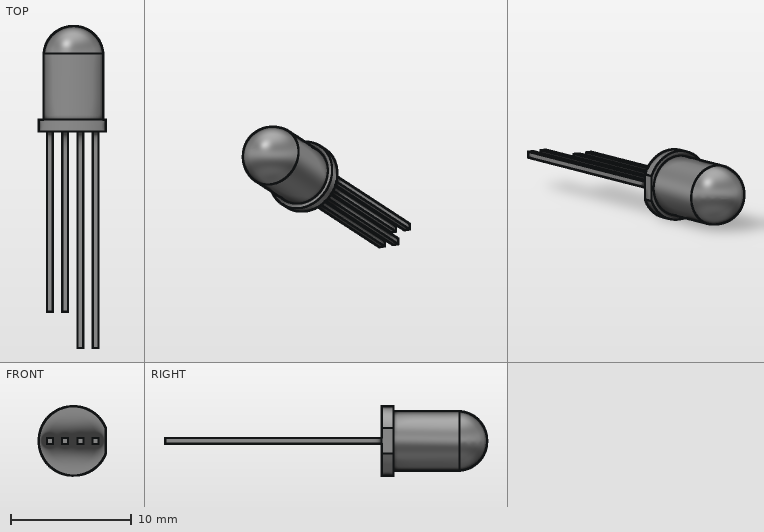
import cadquery as cq
import math


flange_radius = 2.9
flange_thickness = 1.0
flat_distance = 2.7

barrel_radius = 2.5
barrel_end = 6.5
overall_lens_length = 8.8
barrel_length = barrel_end - flange_thickness
dome_radius = barrel_radius
dome_center = overall_lens_length - dome_radius

lead_width = 0.5
lead_pitch = 1.27
lead_row_center = -0.05
lead_lengths = [15.0, 15.0, 18.0, 18.0]


def cylinder_along_y(radius, start, length):
    """Cylinder on the Y axis that starts at Y = start and grows toward +Y."""
    return cq.Workplane("XZ", origin=(0, start, 0)).circle(radius).extrude(-length)


def make_flange():
    """Disc with a flat cut off its +X side."""
    disc = cylinder_along_y(flange_radius, 0, flange_thickness)
    kept_width = flange_radius + flat_distance
    kept = (
        cq.Workplane("XY")
        .box(kept_width, flange_thickness, 2 * flange_radius, centered=(False, False, True))
        .translate((-flange_radius, 0, 0))
    )
    return disc.intersect(kept)


def make_barrel():
    """Plain round barrel that stands on the flange."""
    return cylinder_along_y(barrel_radius, flange_thickness, barrel_length)


def make_dome():
    """Spherical cap that closes the end of the barrel."""
    base_radius = math.sqrt(dome_radius**2 - (barrel_end - dome_center) ** 2)
    mid_arc_offset = dome_radius * math.sqrt(0.5)
    return (
        cq.Workplane("XY")
        .moveTo(0, barrel_end)
        .lineTo(base_radius, barrel_end)
        .threePointArc(
            (mid_arc_offset, dome_center + mid_arc_offset),
            (0, overall_lens_length),
        )
        .close()
        .revolve(360, (0, 0, 0), (0, 1, 0))
    )


def make_lead(x_position, length):
    """Square lead that runs from the flange face toward -Y."""
    return (
        cq.Workplane("XZ", origin=(x_position, 0, 0))
        .rect(lead_width, lead_width)
        .extrude(length)
    )


flange = make_flange()
barrel = make_barrel()
dome = make_dome()

first_lead_x = lead_row_center - lead_pitch * (len(lead_lengths) - 1) / 2
leads = []
for index, lead_length in enumerate(lead_lengths):
    lead_x = first_lead_x + index * lead_pitch
    leads.append(make_lead(lead_x, lead_length).val())

result = cq.Compound.makeCompound([flange.val(), barrel.val(), dome.val(), *leads])